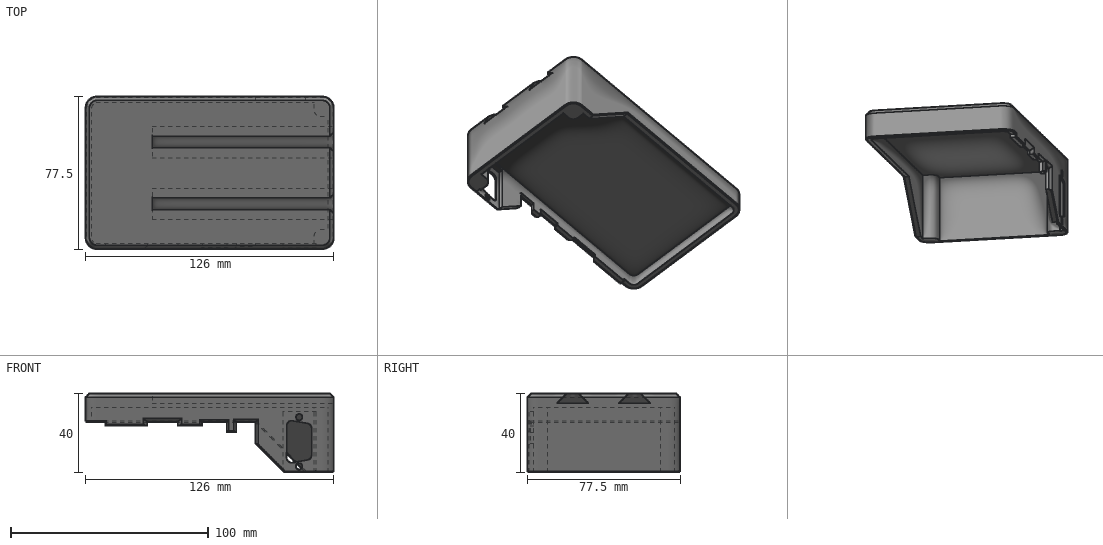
import cadquery as cq
import math

LENGTH = 126.0
WIDTH = 77.5
HEIGHT = 40.0
WALL = 3.0
ROOF = 7.0
CORNER_RADIUS = 6.0
TOP_CHAMFER = 2.0
FRONT_Y = -WIDTH / 2
BACK_Y = WIDTH / 2
RIGHT_X = LENGTH

RIM_Z = 25.4
BOX_X = 86.15
TAB_X = 10.05
TAB_Z = 23.7
POST_Z = 20.4
FRONT_SLOPE_TOP_Z = 14.7
SLOPE_ANGLE = 45.0
LIP_HEIGHT = 0.6
LIP_SETBACK = 0.45

NOTCHES = [
    (31.4, 46.8, 2.0),
    (59.2, 71.6, 1.1),
    (76.6, BOX_X, 1.5),
]
POST_START_X = NOTCHES[1][1]

CONNECTOR_X = 108.4
CONNECTOR_Z = 15.5
CONNECTOR_WIDTH = 12.6
CONNECTOR_HEIGHT = 20.0
CONNECTOR_SIDE_ANGLE = 10.0
CONNECTOR_RADIUS = 2.5
SCREW_SPACING = 24.9
SCREW_DIAMETER = 3.25
RECESS_WIDTH = 16.6
RECESS_TOP_Z = 31.0
PANEL_THICKNESS = 0.8

SLOT_START_X = 33.9
SLOT_TOP_WIDTH = 5.9
SLOT_DEPTH = 5.0
SLOT_SPACING = 31.4

BOSS_DIAMETER = 7.1
BOSS_INSET = 6.6


def plan_block(inset, bottom_z, top_z):
    """Rounded rectangular block, every side moved in by the inset."""
    return (
        cq.Workplane("XY", origin=(LENGTH / 2, 0, bottom_z))
        .rect(LENGTH - 2 * inset, WIDTH - 2 * inset)
        .extrude(top_z - bottom_z)
        .edges("|Z")
        .fillet(CORNER_RADIUS - inset)
    )


def side_prism(points, start_y, end_y):
    """Prism with an XZ outline between two Y positions."""
    return (
        cq.Workplane("XZ", origin=(0, end_y, 0))
        .polyline(points)
        .close()
        .extrude(end_y - start_y)
    )


def profile_above(lower_edge):
    """Side outline between a lower edge, listed left to right, and the top."""
    return lower_edge + [(RIGHT_X, HEIGHT), (0, HEIGHT)]


def slope_shift(lift):
    """Shift of a sloped edge's upper end along Z, or lower end along X, when it moves in by the lift."""
    return lift * math.tan(math.radians(SLOPE_ANGLE / 2))


def front_edge(lift):
    """Lower edge of the front wall with all openings between tabs filled, raised by the lift."""
    shift = slope_shift(lift)
    slope_end_x = BOX_X + FRONT_SLOPE_TOP_Z
    return [
        (0, RIM_Z + lift),
        (TAB_X + lift, RIM_Z + lift),
        (TAB_X + lift, TAB_Z + lift),
        (POST_START_X, TAB_Z + lift),
        (POST_START_X, POST_Z + lift),
        (BOX_X + lift, POST_Z + lift),
        (BOX_X + lift, FRONT_SLOPE_TOP_Z + shift),
        (slope_end_x + shift, lift),
        (RIGHT_X, lift),
    ]


def back_edge(lift):
    """Lower edge of the rest of the case, raised by the lift."""
    shift = slope_shift(lift)
    return [
        (0, RIM_Z + lift),
        (BOX_X + shift, RIM_Z + lift),
        (BOX_X + RIM_Z + shift, lift),
        (RIGHT_X, lift),
    ]


def stepped_outline(lift):
    """Side outlines of the case: the front wall differs from everything behind it."""
    front = side_prism(profile_above(front_edge(lift)), FRONT_Y, FRONT_Y + WALL)
    back = side_prism(profile_above(back_edge(lift)), FRONT_Y + WALL, BACK_Y)
    return front.union(back)


def case_solid():
    """Solid case with a chamfered top and a set-back lip along the lower edge."""
    outer = plan_block(0, 0, HEIGHT).faces(">Z").chamfer(TOP_CHAMFER)
    lip = plan_block(LIP_SETBACK, 0, HEIGHT - TOP_CHAMFER)
    return outer.intersect(stepped_outline(LIP_HEIGHT)).union(lip.intersect(stepped_outline(0)))


def cavity():
    """Inside of the case, less the bosses left standing in the right-hand corners."""
    space = plan_block(WALL, 0, HEIGHT - ROOF)
    for side in (-1, 1):
        space = space.cut(boss(side))
    return space


def boss(side):
    """Round boss joined to both walls of a right-hand corner."""
    boss_x = RIGHT_X - BOSS_INSET
    boss_y = side * (BACK_Y - BOSS_INSET)
    radius = BOSS_DIAMETER / 2
    reach = radius + BOSS_INSET
    round_part = cq.Workplane("XY").center(boss_x, boss_y).circle(radius).extrude(HEIGHT)
    to_side_wall = (
        cq.Workplane("XY")
        .center(RIGHT_X - reach / 2, side * (BACK_Y - BOSS_INSET / 2))
        .rect(reach, BOSS_INSET)
        .extrude(HEIGHT)
    )
    to_end_wall = (
        cq.Workplane("XY")
        .center(RIGHT_X - BOSS_INSET / 2, side * (BACK_Y - reach / 2))
        .rect(BOSS_INSET, reach)
        .extrude(HEIGHT)
    )
    return round_part.union(to_side_wall).union(to_end_wall)


def notch(start_x, end_x, chamfer):
    """Opening up to the rim height in the front wall, chamfered on the outside."""
    middle_x = (start_x + end_x) / 2
    span = end_x - start_x
    straight = (
        cq.Workplane("XZ", origin=(middle_x, FRONT_Y + WALL, RIM_Z / 2))
        .rect(span, RIM_Z)
        .extrude(WALL)
    )
    flare = (
        cq.Workplane("XZ", origin=(middle_x, FRONT_Y, RIM_Z / 2))
        .rect(span + 2 * chamfer, RIM_Z + 2 * chamfer)
        .workplane(offset=-chamfer)
        .rect(span, RIM_Z)
        .loft()
    )
    return straight.union(flare)


def notches():
    """All openings between the tabs of the front wall."""
    openings = cq.Workplane("XY")
    for start_x, end_x, chamfer in NOTCHES:
        openings = openings.add(notch(start_x, end_x, chamfer))
    return openings.combine()


def connector_opening():
    """D-shaped opening, taller on its left side, and a screw hole above and below it."""
    half_width = CONNECTOR_WIDTH / 2
    slant = half_width * math.tan(math.radians(CONNECTOR_SIDE_ANGLE))
    left_half = CONNECTOR_HEIGHT / 2 + slant
    right_half = CONNECTOR_HEIGHT / 2 - slant
    plane = cq.Workplane("XZ", origin=(CONNECTOR_X, FRONT_Y + WALL, CONNECTOR_Z))
    opening = (
        plane.polyline(
            [
                (-half_width, -left_half),
                (half_width, -right_half),
                (half_width, right_half),
                (-half_width, left_half),
            ]
        )
        .close()
        .extrude(WALL)
        .edges("|Y")
        .fillet(CONNECTOR_RADIUS)
    )
    screws = (
        plane.pushPoints([(0, -SCREW_SPACING / 2), (0, SCREW_SPACING / 2)])
        .circle(SCREW_DIAMETER / 2)
        .extrude(WALL)
    )
    return opening.union(screws)


def connector_recess():
    """Pocket behind the connector, open below, that thins the front wall to a panel."""
    return (
        cq.Workplane("XZ", origin=(CONNECTOR_X, FRONT_Y + WALL, RECESS_TOP_Z / 2))
        .rect(RECESS_WIDTH, RECESS_TOP_Z)
        .extrude(WALL - PANEL_THICKNESS)
    )


def dovetail_slot(center_y):
    """Slot that widens downwards at 45 degrees."""
    half_top = SLOT_TOP_WIDTH / 2
    half_bottom = half_top + SLOT_DEPTH
    return (
        cq.Workplane("YZ", origin=(SLOT_START_X, center_y, HEIGHT))
        .polyline(
            [
                (-half_top, 0),
                (half_top, 0),
                (half_bottom, -SLOT_DEPTH),
                (-half_bottom, -SLOT_DEPTH),
            ]
        )
        .close()
        .extrude(RIGHT_X - SLOT_START_X)
    )


result = case_solid().cut(cavity()).cut(notches()).cut(connector_opening()).cut(connector_recess())
for side in (-1, 1):
    result = result.cut(dovetail_slot(side * SLOT_SPACING / 2))